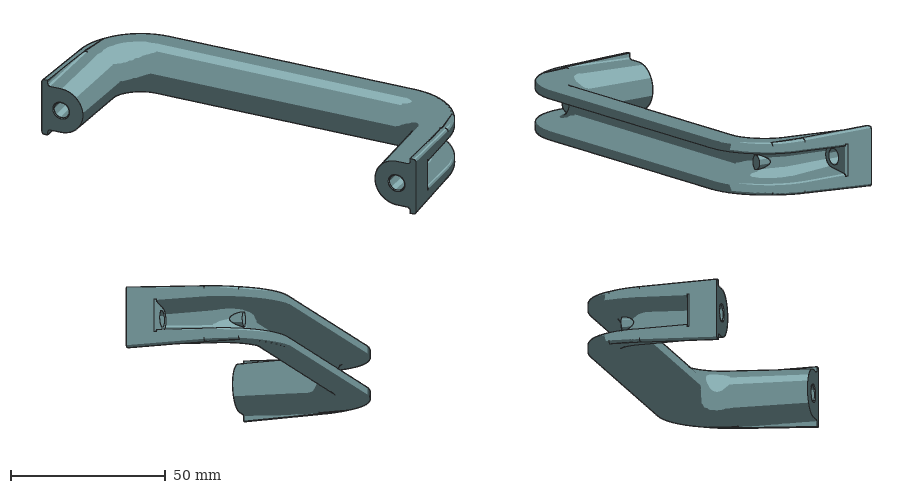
import cadquery as cq
import math

length = 134.0
depth = 48.1
half_length = length / 2
leg_lean_angle = 2
draft = math.tan(math.radians(leg_lean_angle))

bar_thickness = 14.7
bar_half_height = 8.7
foot_half_height = 7.9
rim_radius = 1.0

outer_radius = 22.1
bend_y = depth - outer_radius
bend_lean = bend_y * draft
bend_x = half_length - bend_lean - outer_radius

channel_depth = 11.0
channel_half_width = 5.0
channel_end_half_width = 4.5
channel_end_floor_half_width = 3.8
channel_mouth_radius = 0.8
channel_end_y = 10.0

flange_half_height = 9.9
flange_width = 2.1
cove_radius = 1.0
flange_runout_y = 36.8

hole_x = 60.0
hole_diameter = 5.4
countersink_diameter = 6.0

stub_diameter = 5.0
stub_x = 51.5
stub_base_y = 26.8
stub_top_y = 35.2

cos_45 = math.sqrt(0.5)


def leg_plane(y):
    """Section plane of the left leg: origin on its outer face, local x inward, local y along Z."""
    return cq.Plane(origin=(-half_length + y * draft, y, 0), xDir=(1, 0, 0), normal=(0, -1, 0))


def bar_section(plane, half_height):
    """Flat-sided bar with a round inner nose and rounded outer rims."""
    r = rim_radius
    mid = r * (1 - cos_45)
    nose_start = bar_thickness - half_height
    return (
        cq.Workplane(plane)
        .moveTo(0, half_height - r)
        .threePointArc((mid, half_height - mid), (r, half_height))
        .lineTo(nose_start, half_height)
        .threePointArc((bar_thickness, 0), (nose_start, -half_height))
        .lineTo(r, -half_height)
        .threePointArc((mid, mid - half_height), (0, r - half_height))
        .close()
    )


def channel_section(plane, half_width, floor_half_width):
    """Round-bottomed channel whose mouth flares out with a radius on both sides."""
    r = channel_mouth_radius
    mid = r * (1 - cos_45)
    floor_start = channel_depth - floor_half_width
    return (
        cq.Workplane(plane)
        .moveTo(-r, half_width + r)
        .lineTo(0, half_width + r)
        .threePointArc((mid, half_width + mid), (r, half_width))
        .lineTo(floor_start, floor_half_width)
        .threePointArc((channel_depth, 0), (floor_start, -floor_half_width))
        .lineTo(r, -half_width)
        .threePointArc((mid, -half_width - mid), (0, -half_width - r))
        .lineTo(-r, -half_width - r)
        .close()
    )


def loft_between(first, second):
    wires = [section.wire().val() for section in (first, second)]
    return cq.Workplane(cq.Solid.makeLoft(wires, True))


def left_bend(section):
    """Turn a section at the top of the left leg through the corner."""
    return section.revolve(90, (outer_radius, 0), (outer_radius, -1))


def left_half_of_bar(section):
    return section.extrude(bend_x)


def bar_plane():
    return cq.Plane(origin=(-bend_x, depth, 0), xDir=(0, -1, 0), normal=(1, 0, 0))


def left_body():
    top = leg_plane(bend_y)
    leg = loft_between(bar_section(leg_plane(0), foot_half_height), bar_section(top, bar_half_height))
    bend = left_bend(bar_section(top, bar_half_height))
    return leg.union(bend).union(left_half_of_bar(bar_section(bar_plane(), bar_half_height)))


def left_channel():
    top = leg_plane(bend_y)
    end_section = channel_section(
        leg_plane(channel_end_y), channel_end_half_width, channel_end_floor_half_width
    )
    leg = loft_between(end_section, channel_section(top, channel_half_width, channel_half_width))
    bend = left_bend(channel_section(top, channel_half_width, channel_half_width))
    bar = left_half_of_bar(channel_section(bar_plane(), channel_half_width, channel_half_width))
    return leg.union(bend).union(bar)


def left_channel_end_flare():
    """Rounded lip where the end wall of the channel meets the outer face."""
    r = channel_mouth_radius
    mid = r * (1 - cos_45)
    face_x = -half_length + channel_end_y * draft
    return (
        cq.Workplane("XY")
        .moveTo(face_x - r, channel_end_y - r)
        .lineTo(face_x, channel_end_y - r)
        .threePointArc((face_x + mid, channel_end_y - mid), (face_x + r, channel_end_y))
        .lineTo(face_x - r, channel_end_y)
        .close()
        .extrude(channel_end_half_width + r, both=True)
    )


def cove_section(plane, half_height):
    """Flange blank with a concave radius on each side where it meets the leg."""
    r = cove_radius
    mid = r * (1 - cos_45)
    top = flange_half_height
    profile = (
        cq.Workplane(plane)
        .moveTo(0, top)
        .lineTo(flange_width, top)
        .lineTo(flange_width, half_height + r)
        .threePointArc((flange_width + mid, half_height + mid), (flange_width + r, half_height))
        .lineTo(flange_width + r, -half_height)
        .threePointArc((flange_width + mid, -half_height - mid), (flange_width, -half_height - r))
        .lineTo(flange_width, -top)
        .lineTo(0, -top)
    )
    return profile.close()


def flange_envelope():
    """Wedge, symmetric about z = 0, that narrows from the feet to the flange runout."""
    return (
        cq.Workplane("YZ")
        .moveTo(0, flange_half_height)
        .lineTo(flange_runout_y, bar_half_height)
        .lineTo(flange_runout_y, -bar_half_height)
        .lineTo(0, -flange_half_height)
        .close()
        .extrude(half_length, both=True)
    )


def round_flange_rims(blank, outer_point):
    """Trim a flange blank to the wedge and round its two outer edges near outer_point."""
    flange = blank.intersect(flange_envelope())
    for side in (1, -1):
        rim_point = (*outer_point, side * flange_half_height)
        flange = flange.edges(cq.NearestToPointSelector(rim_point)).fillet(rim_radius)
    return flange


def left_flange():
    runout_rise = flange_runout_y - bend_y
    runout_x = -bend_x - math.sqrt(outer_radius**2 - runout_rise**2)
    half_angle = math.asin(runout_rise / outer_radius) / 2
    arc_middle = (
        -bend_x - outer_radius * math.cos(half_angle),
        bend_y + outer_radius * math.sin(half_angle),
    )
    bend_part = (
        cq.Workplane("XY")
        .moveTo(-bend_x - outer_radius, bend_y)
        .threePointArc(arc_middle, (runout_x, flange_runout_y))
        .lineTo(runout_x + rim_radius, flange_runout_y)
        .lineTo(-bend_x - outer_radius + flange_width, bend_y)
        .close()
        .extrude(flange_half_height, both=True)
    )
    leg_part = loft_between(
        cove_section(leg_plane(0), foot_half_height),
        cove_section(leg_plane(bend_y), bar_half_height),
    )
    leg_middle = (-half_length + bend_lean / 2, bend_y / 2)
    return round_flange_rims(leg_part, leg_middle).union(round_flange_rims(bend_part, arc_middle))


def left_hole():
    """Drilled hole opening into the channel, countersunk at the foot."""
    countersink_depth = (countersink_diameter - hole_diameter) / 2
    base = cq.Workplane("XZ", origin=(-hole_x, 0, 0))
    drilled = base.circle(hole_diameter / 2).extrude(-channel_end_y)
    cone = cq.Solid.makeCone(
        countersink_diameter / 2, hole_diameter / 2, countersink_depth,
        cq.Vector(-hole_x, 0, 0), cq.Vector(0, 1, 0),
    )
    return drilled.union(cq.Workplane(cone))


def left_stub():
    """Stub kept solid when the channel is cut, so only its outer part shows."""
    return (
        cq.Workplane("XZ", origin=(-stub_x, stub_base_y, 0))
        .circle(stub_diameter / 2)
        .extrude(stub_base_y - stub_top_y)
    )


channel = left_channel().cut(left_stub())
left_half = left_body().union(left_flange()).cut(channel).cut(left_channel_end_flare()).cut(left_hole())
result = left_half.union(left_half.mirror("YZ"))